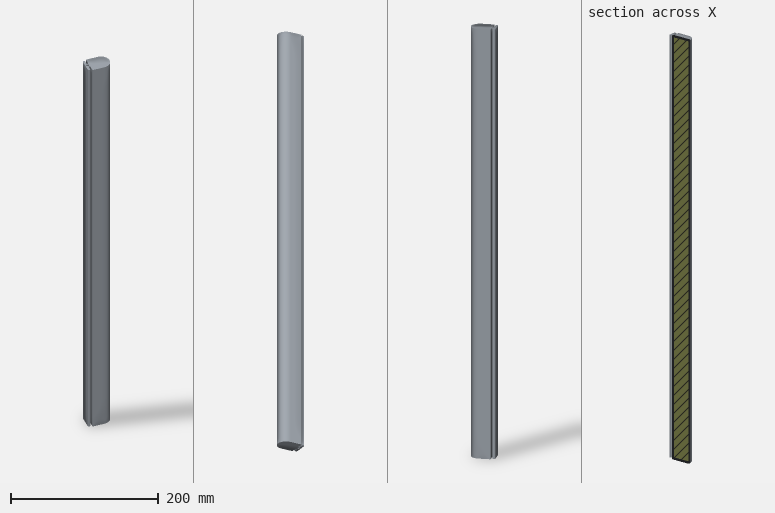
import cadquery as cq

length = 609.5
width = 25.0
depth = 35.5

strip_width = 21.5
strip_thickness = 3.35
strip_chamfer = 1.0
body_offset = 5.8
stem_width = 6.0
hole_diameter = 4.0
hole_offset = 3.35

half_width = width / 2
front = -depth / 2
back = depth / 2
body_front = front + body_offset


def make_body():
    """Bar with a flat front and a half-round back."""
    return (
        cq.Workplane("XY")
        .moveTo(-half_width, body_front)
        .lineTo(half_width, body_front)
        .lineTo(half_width, back - half_width)
        .threePointArc((0, back), (-half_width, back - half_width))
        .close()
        .extrude(length)
    )


def make_strip():
    """Flat strip with chamfered front edges, and the stem that joins it to the body."""
    strip = (
        cq.Workplane("XY")
        .center(0, front + strip_thickness / 2)
        .rect(strip_width, strip_thickness)
        .extrude(length)
        .edges("|Z and <Y")
        .chamfer(strip_chamfer)
    )
    stem = (
        cq.Workplane("XY")
        .center(0, front + strip_thickness / 2 + body_offset / 2)
        .rect(stem_width, body_offset - strip_thickness)
        .extrude(length)
    )
    return strip.union(stem)


def make_hole():
    """Round passage running the full length of the stem."""
    return (
        cq.Workplane("XY")
        .center(0, front + hole_offset)
        .circle(hole_diameter / 2)
        .extrude(length)
    )


result = make_body().union(make_strip()).cut(make_hole())